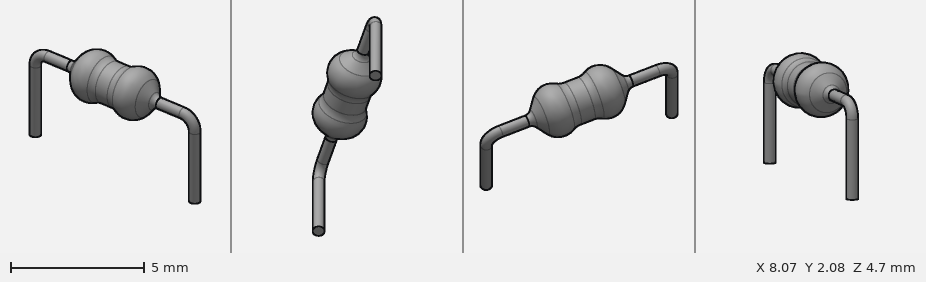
import cadquery as cq
import math

length = 8.07
wire_radius = 0.45 / 2
bend_radius = 0.58
foot_depth = 3.655
foot_x = length / 2 - wire_radius

body_half_length = 2.13
waist_radius = 1.7 / 2
waist_half_length = 0.28
bulge_radius = 2.08 / 2
bulge_x = 0.98
cone_angle = math.radians(52)
neck_length = 0.26

flare_run = bulge_x - waist_half_length
flare_angle = 2 * math.atan((bulge_radius - waist_radius) / flare_run)
arc_radius_sum = flare_run / math.sin(flare_angle)

neck_arc = neck_length / math.sin(cone_angle)
neck_x = body_half_length - neck_length
neck_radius = wire_radius + neck_arc * (1 - math.cos(cone_angle))

cone_rise_at_bulge = neck_radius + (neck_x - bulge_x) * math.tan(cone_angle)
bulge_arc = (cone_rise_at_bulge - bulge_radius) / (1 / math.cos(cone_angle) - 1)
waist_arc = arc_radius_sum - bulge_arc


def bulge_point(side, angle):
    """Point on a bulge arc, with the angle measured from its crest towards the body end."""
    x = bulge_x + bulge_arc * math.sin(angle)
    radius = bulge_radius - bulge_arc * (1 - math.cos(angle))
    return side * x, radius


def waist_point(side, angle):
    """Point on a concave waist flare, with the angle measured from the straight waist."""
    x = waist_half_length + waist_arc * math.sin(angle)
    radius = waist_radius + waist_arc * (1 - math.cos(angle))
    return side * x, radius


def neck_point(side, angle):
    """Point on a concave neck flare, with the angle measured from the wire."""
    x = body_half_length - neck_arc * math.sin(angle)
    radius = wire_radius + neck_arc * (1 - math.cos(angle))
    return side * x, radius


def make_body():
    """Half outline from the -X end to the +X end, revolved about the X axis."""
    return (
        cq.Workplane("XY")
        .moveTo(-body_half_length, 0)
        .lineTo(*neck_point(-1, 0))
        .threePointArc(neck_point(-1, cone_angle / 2), neck_point(-1, cone_angle))
        .lineTo(*bulge_point(-1, cone_angle))
        .threePointArc(bulge_point(-1, 0), waist_point(-1, flare_angle))
        .threePointArc(waist_point(-1, flare_angle / 2), waist_point(-1, 0))
        .lineTo(*waist_point(1, 0))
        .threePointArc(waist_point(1, flare_angle / 2), waist_point(1, flare_angle))
        .threePointArc(bulge_point(1, 0), bulge_point(1, cone_angle))
        .lineTo(*neck_point(1, cone_angle))
        .threePointArc(neck_point(1, cone_angle / 2), neck_point(1, 0))
        .lineTo(body_half_length, 0)
        .close()
        .revolve(360, (0, 0, 0), (1, 0, 0))
    )


def make_lead(side):
    """Lead on one side of the body: side is -1 for the -X end and 1 for the +X end."""
    bend_start = foot_x - bend_radius
    bend_mid_x = bend_start + bend_radius * math.sin(math.pi / 4)
    bend_mid_z = -bend_radius * (1 - math.cos(math.pi / 4))
    path = (
        cq.Workplane("XZ")
        .moveTo(side * body_half_length, 0)
        .lineTo(side * bend_start, 0)
        .threePointArc((side * bend_mid_x, bend_mid_z), (side * foot_x, -bend_radius))
        .lineTo(side * foot_x, -foot_depth)
    )
    return (
        cq.Workplane("YZ", origin=(side * body_half_length, 0, 0))
        .circle(wire_radius)
        .sweep(path)
    )


body = make_body()
leads = [make_lead(side).val() for side in (-1, 1)]

result = cq.Compound.makeCompound([body.val(), *leads])